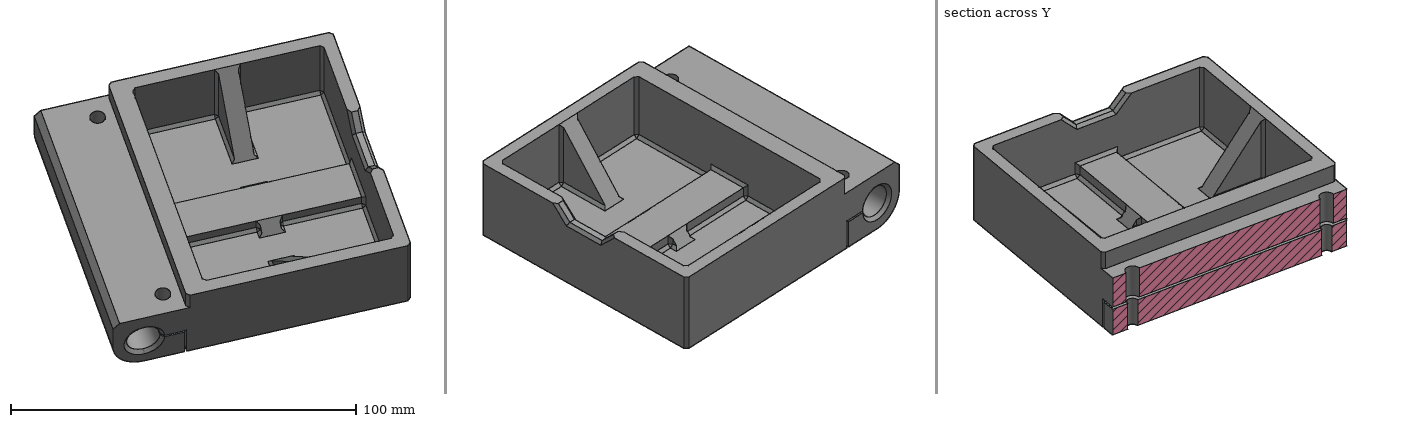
import cadquery as cq
import math

width = 82.0
length = 90.0
height = 25.8
edge_chamfer = 1.0

shelf_height = 20.1
tray_front = 22.2
bar_chamfer = 2.0
bar_radius = 9.45
bore_diameter = 10.1
bore_chamfer = 1.1
slit = 0.6

screw_inset = 7.0
screw_y = 17.1
clearance_diameter = 4.5
thread_diameter = 3.4

wall = 4.0
front_wall = 6.1
floor_z = 4.0
cavity_width = width - 2 * wall
cavity_front = tray_front + front_wall
cavity_back = length - wall
cavity_mid_y = (cavity_front + cavity_back) / 2

rib_width = 12.9
rib_height = 4.0
gusset_width = 5.9
gusset_angle = math.radians(50)

notch_bottom_width = 12.9
notch_depth = 4.5
notch_angle = math.radians(45)

overshoot = 0.9


def box(x_min, x_max, y_min, y_max, z_min, z_max):
    corner = cq.Workplane("XY", origin=(x_min, y_min, z_min))
    return corner.box(x_max - x_min, y_max - y_min, z_max - z_min, centered=False)


def make_body():
    """Low bar running the full length, with the taller tray block on top of its back part."""
    bar = (
        box(-width / 2, width / 2, 0, length, 0, shelf_height)
        .edges("|X and <Y and >Z").chamfer(bar_chamfer)
        .edges("|X and <Y and <Z").fillet(bar_radius)
        .edges("|Z and >Y").chamfer(edge_chamfer)
    )
    tray = (
        box(-width / 2, width / 2, tray_front, length, shelf_height, height)
        .edges("|Z").chamfer(edge_chamfer)
    )
    return bar.union(tray)


def make_quadrant(side, y_min, y_max):
    """Void between the long rib, a gusset and the walls, with chamfered corners."""
    inner = side * rib_width / 2
    outer = side * cavity_width / 2
    return (
        box(min(inner, outer), max(inner, outer), y_min, y_max, floor_z, height + overshoot)
        .edges("|Z or <Z").chamfer(edge_chamfer)
    )


def make_rib_clearance():
    """Void above the long rib, chamfered where the rib top meets the end walls."""
    half = rib_width / 2 + edge_chamfer
    return (
        box(-half, half, cavity_front, cavity_back, floor_z + rib_height, height + overshoot)
        .edges("|X and <Z").chamfer(edge_chamfer)
    )


def make_gusset_clearance(side):
    """Void between the two facing gusset slopes on one side of the long rib."""
    run = 1 / math.tan(gusset_angle)
    top = height + overshoot
    rib_x = rib_width / 2
    wall_x = cavity_width / 2
    profile = [
        (rib_x, floor_z + rib_height),
        (rib_x + rib_height * run, floor_z),
        (wall_x - (height - floor_z) * run, floor_z),
        (wall_x, height),
        (wall_x, top),
        (rib_x, top),
    ]
    span = gusset_width + 2 * edge_chamfer
    return (
        cq.Workplane("XZ", origin=(0, cavity_mid_y + span / 2, 0))
        .polyline([(side * x, z) for x, z in profile]).close()
        .extrude(span)
    )


def make_cavity():
    cavity = make_rib_clearance()
    for side in (-1, 1):
        cavity = cavity.union(make_quadrant(side, cavity_front, cavity_mid_y - gusset_width / 2))
        cavity = cavity.union(make_quadrant(side, cavity_mid_y + gusset_width / 2, cavity_back))
        cavity = cavity.union(make_gusset_clearance(side))
    return cavity


def notch_section(y, growth):
    """Notch outline in the plane at y, with every side moved outwards by growth."""
    bottom_z = height - notch_depth - growth
    top_z = height + overshoot
    bottom_half = notch_bottom_width / 2 + growth * math.tan(notch_angle / 2)
    top_half = bottom_half + (top_z - bottom_z) / math.tan(notch_angle)
    return cq.Workplane("XZ", origin=(0, y, 0)).polyline(
        [(-top_half, top_z), (-bottom_half, bottom_z), (bottom_half, bottom_z), (top_half, top_z)]
    ).close()


def loft_notch(y_start, growth_start, y_end, growth_end):
    start = notch_section(y_start, growth_start).wires().val()
    end = notch_section(y_end, growth_end).wires().val()
    return cq.Workplane(cq.Solid.makeLoft([start, end], True))


def make_notch():
    """Trapezoidal notch through the back wall, chamfered on both wall faces."""
    inner = cavity_back + edge_chamfer
    outer = length - edge_chamfer
    return (
        loft_notch(cavity_back, edge_chamfer, inner, 0)
        .union(loft_notch(inner, 0, outer, 0))
        .union(loft_notch(outer, 0, length, edge_chamfer))
    )


def make_bore():
    """Rod bore concentric with the rounded edge of the bar, countersunk at both ends."""
    end_radius = bore_diameter / 2 + bore_chamfer
    bore = (
        cq.Workplane("YZ", origin=(-width / 2, bar_radius, bar_radius))
        .circle(bore_diameter / 2).extrude(width)
    )
    for side in (-1, 1):
        countersink = cq.Solid.makeCone(
            end_radius, bore_diameter / 2, bore_chamfer,
            cq.Vector(side * width / 2, bar_radius, bar_radius), cq.Vector(-side, 0, 0),
        )
        bore = bore.union(cq.Workplane(countersink))
    return bore


def make_slit():
    """L-shaped slit from the bore to the underside that frees the clamp jaw."""
    slit_top = bar_radius + slit / 2
    across = box(-width / 2, width / 2, bar_radius, tray_front, slit_top - slit, slit_top)
    down = box(-width / 2, width / 2, tray_front - slit, tray_front, 0, slit_top)
    return across.union(down)


def make_screw_holes():
    """Clearance holes down to the slit, continuing as thread holes through the jaw."""
    holes = cq.Workplane("XY")
    for side in (-1, 1):
        x = side * (width / 2 - screw_inset)
        thread = cq.Workplane("XY", origin=(x, screw_y, 0)).circle(thread_diameter / 2)
        clearance = cq.Workplane("XY", origin=(x, screw_y, bar_radius)).circle(clearance_diameter / 2)
        holes = holes.add(thread.extrude(bar_radius))
        holes = holes.add(clearance.extrude(shelf_height - bar_radius))
    return holes.combine()


result = (
    make_body()
    .cut(make_cavity())
    .cut(make_notch())
    .cut(make_bore())
    .cut(make_slit())
    .cut(make_screw_holes())
)